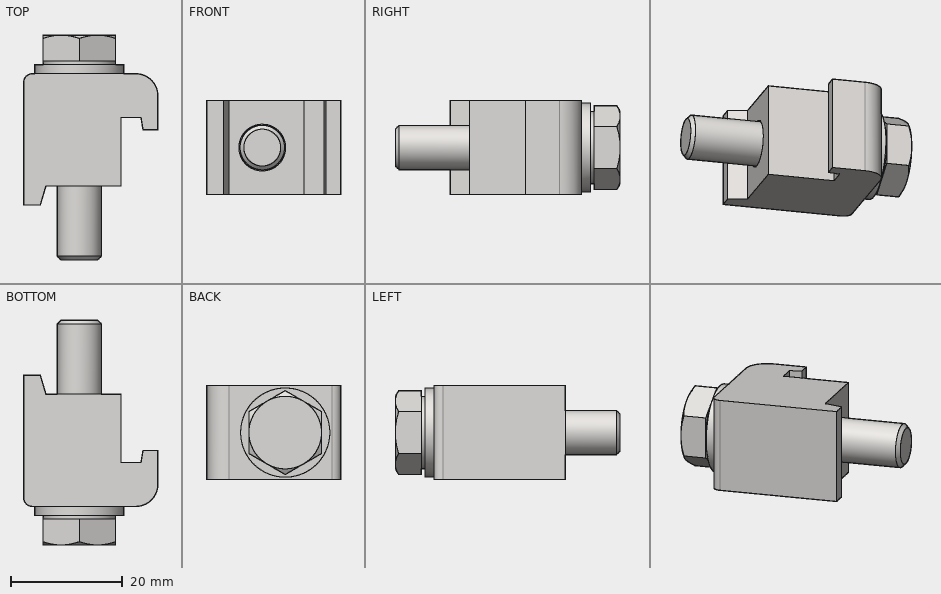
import cadquery as cq
import math


clamp_width = 24.1
clamp_height = 16.9
bolt_offset = 10.0
body_width = 17.5
body_depth = 20.15
lip_depth = 23.58
lip_tip_width = 3.02
lip_root_width = 4.05
hook_depth = 10.08
hook_ceiling_depth = 7.9
hook_tip_width = 2.7
hook_root_width = 3.05
left_corner_radius = 1.6
right_corner_radius = 4.0
clearance_diameter = 8.4

washer_diameter = 16.0
washer_thickness = 1.6

total_length = 40.3
shank_diameter = 7.98
shank_chamfer = 0.7
across_flats = 13.0
hex_height = 4.67
collar_diameter = across_flats
collar_height = 0.6
head_chamfer_angle = 30.0
shank_length = total_length - hex_height - collar_height


def cylinder(diameter, start_y, length):
    """Cylinder on the bolt axis, extending towards +Y."""
    return cq.Workplane("XZ", origin=(0, start_y, 0)).circle(diameter / 2).extrude(-length)


def make_clamp():
    """Block with a lip at the left and an overhanging hook at the right."""
    left = -bolt_offset
    right = left + clamp_width
    body_right = left + body_width
    profile = (
        cq.Workplane("XY", origin=(0, 0, -clamp_height / 2))
        .moveTo(left, 0)
        .lineTo(right, 0)
        .lineTo(right, -hook_depth)
        .lineTo(right - hook_tip_width, -hook_depth)
        .lineTo(right - hook_root_width, -hook_ceiling_depth)
        .lineTo(body_right, -hook_ceiling_depth)
        .lineTo(body_right, -body_depth)
        .lineTo(left + lip_root_width, -body_depth)
        .lineTo(left + lip_tip_width, -lip_depth)
        .lineTo(left, -lip_depth)
        .close()
    )
    block = profile.extrude(clamp_height)
    block = block.edges(cq.selectors.NearestToPointSelector((left, 0, 0))).fillet(left_corner_radius)
    block = block.edges(cq.selectors.NearestToPointSelector((right, 0, 0))).fillet(right_corner_radius)
    return block.cut(cylinder(clearance_diameter, -body_depth, body_depth))


def make_washer():
    """Flat ring between the clamp and the bolt head."""
    ring = cylinder(washer_diameter, 0, washer_thickness)
    return ring.cut(cylinder(clearance_diameter, 0, washer_thickness))


def make_hex_head(start_y):
    """Hexagon with flats facing +X and -X and its corners chamfered at the outer end."""
    across_corners = across_flats / math.cos(math.pi / 6)
    hexagon = (
        cq.Workplane("XZ", origin=(0, start_y, 0))
        .transformed(rotate=(0, 0, 90))
        .polygon(6, across_corners)
        .extrude(-hex_height)
    )
    corner_overhang = (across_corners - across_flats) / 2
    chamfer_drop = corner_overhang * math.tan(math.radians(head_chamfer_angle))
    end_y = start_y + hex_height
    envelope = (
        cq.Workplane("XY")
        .moveTo(0, start_y)
        .lineTo(across_corners / 2, start_y)
        .lineTo(across_corners / 2, end_y - chamfer_drop)
        .lineTo(across_flats / 2, end_y)
        .lineTo(0, end_y)
        .close()
        .revolve(360, (0, 0, 0), (0, 1, 0))
    )
    return hexagon.intersect(envelope)


def make_bolt():
    """Chamfered shank, round collar and hexagon head."""
    shank_end = washer_thickness - shank_length
    shank = cylinder(shank_diameter, shank_end, shank_length).faces("<Y").chamfer(shank_chamfer)
    collar = cylinder(collar_diameter, washer_thickness, collar_height)
    head = make_hex_head(washer_thickness + collar_height)
    return shank.union(collar).union(head)


clamp = make_clamp()
washer = make_washer()
bolt = make_bolt()

result = cq.Compound.makeCompound([clamp.val(), washer.val(), bolt.val()])